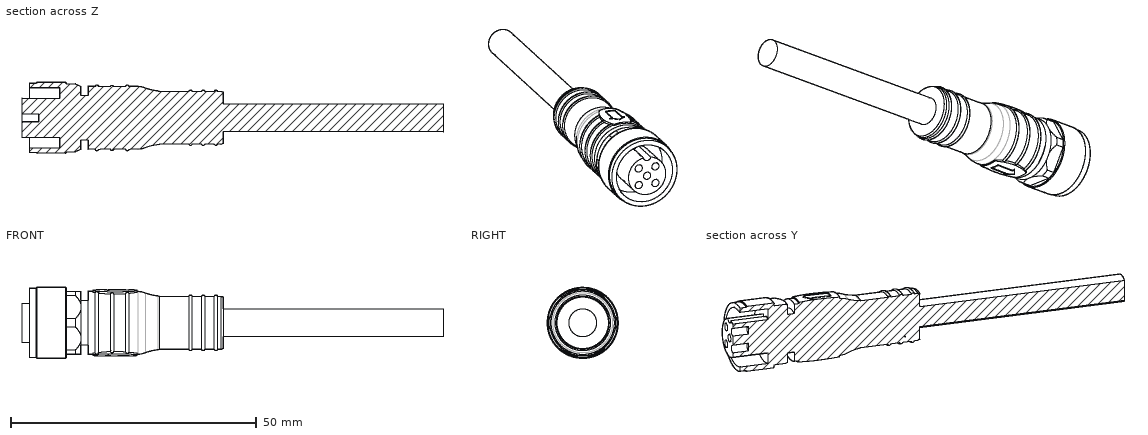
import cadquery as cq
import math


TOTAL_LENGTH = 86.0
COLLAR_FRONT = 1.55
COLLAR_STEP = 2.9
COLLAR_REAR = 9.1
NUT_CHAMFER_START = 10.9
NUT_REAR = 12.0
GRIP_FRONT = 13.5
SHOULDER_START = 23.65
TAPER_START = 25.2
TAPER_END = 27.8
SLEEVE_REAR = 41.1

CABLE_RADIUS = 2.8
INSERT_RADIUS = 4.0
NECK_RADIUS = 4.6
SLEEVE_RADIUS = 5.4
TAPER_START_RADIUS = 6.1
GRIP_RADIUS = 6.45
COLLAR_DIAMETER = 14.5
COLLAR_RADIUS = COLLAR_DIAMETER / 2
NUT_RADIUS = 7.0
NUT_END_RADIUS = 6.45

COLLAR_STEP_HEIGHT = 0.2
COLLAR_REAR_CHAMFER = 0.2
BORE_RADIUS = 6.1
BORE_FLOOR = 7.7

NUT_ACROSS_FLATS = 12.8

CONTACT_RADIUS = 0.8
CONTACT_OFFSET = 1.8
CONTACT_DEPTH = 3.4
KEY_RADIUS = 0.8

RIB_WIDTH = 0.7
RIB_HEIGHT = 0.3
GRIP_RIB_CENTERS = (15.3, 18.4, 21.5)
SLEEVE_RIB_CENTERS = (34.4, 37.0, 39.6)
SLEEVE_END_CHAMFER = 0.5
SLEEVE_END_STEP = 0.2
TAPER_BULGE = 0.2
TAPER_LIP_LENGTH = 0.3
TAPER_LIP_HEIGHT = 0.1

PAD_FRONT = 14.5
PAD_REAR = 23.5
PAD_END_RADIUS = 6.7
PAD_CROWN_RADIUS = 6.9
PAD_END_HALF_WIDTH = 1.8
PAD_HALF_WIDTH = 2.75

ARROW_TIP = 16.2
ARROW_HEAD_REAR = 17.7
ARROW_REAR = 21.85
ARROW_HEAD_HALF_WIDTH = 1.6
ARROW_SHAFT_HALF_WIDTH = 1.0
ARROW_DEPTH = 0.2


def cylinder(start, end, radius, y=0, z=0):
    """Cylinder parallel to X between two axial positions."""
    return cq.Workplane("YZ", origin=(start, y, z)).circle(radius).extrude(end - start)


def revolve_about_x(profile):
    return profile.close().revolve(360, (0, 0, 0), (1, 0, 0))


def make_collar():
    front_radius = COLLAR_RADIUS - COLLAR_STEP_HEIGHT
    ring = revolve_about_x(
        cq.Workplane("XY")
        .moveTo(COLLAR_FRONT, 0)
        .lineTo(COLLAR_FRONT, front_radius)
        .lineTo(COLLAR_STEP, front_radius)
        .lineTo(COLLAR_STEP + COLLAR_STEP_HEIGHT, COLLAR_RADIUS)
        .lineTo(COLLAR_REAR - COLLAR_REAR_CHAMFER, COLLAR_RADIUS)
        .lineTo(COLLAR_REAR, COLLAR_RADIUS - COLLAR_REAR_CHAMFER)
        .lineTo(COLLAR_REAR, 0)
    )
    return ring.cut(cylinder(COLLAR_FRONT, BORE_FLOOR, BORE_RADIUS))


def make_nut():
    """Hexagon with flats facing +Z and -Z, its corners turned off and its rear edge chamfered."""
    across_corners = NUT_ACROSS_FLATS / math.cos(math.pi / 6)
    hexagon = (
        cq.Workplane("YZ", origin=(COLLAR_REAR, 0, 0))
        .polygon(6, across_corners)
        .extrude(NUT_REAR - COLLAR_REAR)
    )
    envelope = revolve_about_x(
        cq.Workplane("XY")
        .moveTo(COLLAR_REAR, 0)
        .lineTo(COLLAR_REAR, NUT_RADIUS)
        .lineTo(NUT_CHAMFER_START, NUT_RADIUS)
        .lineTo(NUT_REAR, NUT_END_RADIUS)
        .lineTo(NUT_REAR, 0)
    )
    return hexagon.intersect(envelope)


def make_insert():
    insert = cylinder(0, BORE_FLOOR, INSERT_RADIUS)
    insert = insert.cut(cylinder(0, BORE_FLOOR, KEY_RADIUS, z=INSERT_RADIUS))
    contacts = [(0, 0)]
    for y_side in (-1, 1):
        for z_side in (-1, 1):
            contacts.append((y_side * CONTACT_OFFSET, z_side * CONTACT_OFFSET))
    for y, z in contacts:
        insert = insert.cut(cylinder(0, CONTACT_DEPTH, CONTACT_RADIUS, y, z))
    return insert


def make_grip():
    """Grip, tapering shoulder and rear sleeve as one turned body."""
    shoulder_middle = (SHOULDER_START + TAPER_START) / 2
    shoulder_middle_radius = (GRIP_RADIUS + TAPER_START_RADIUS) / 2 + TAPER_BULGE / 2
    taper_end_radius = SLEEVE_RADIUS + TAPER_LIP_HEIGHT
    taper_middle = (TAPER_START + TAPER_END) / 2
    taper_middle_radius = (TAPER_START_RADIUS + taper_end_radius) / 2 - TAPER_BULGE / 2
    return revolve_about_x(
        cq.Workplane("XY")
        .moveTo(GRIP_FRONT, 0)
        .lineTo(GRIP_FRONT, GRIP_RADIUS)
        .lineTo(SHOULDER_START, GRIP_RADIUS)
        .threePointArc((shoulder_middle, shoulder_middle_radius), (TAPER_START, TAPER_START_RADIUS))
        .threePointArc((taper_middle, taper_middle_radius), (TAPER_END, taper_end_radius))
        .lineTo(TAPER_END + TAPER_LIP_LENGTH, SLEEVE_RADIUS)
        .lineTo(SLEEVE_REAR - SLEEVE_END_CHAMFER, SLEEVE_RADIUS)
        .lineTo(SLEEVE_REAR, SLEEVE_RADIUS - SLEEVE_END_STEP)
        .lineTo(SLEEVE_REAR, 0)
    )


def make_rib(center, base_radius):
    """Rounded ring standing on a cylinder of the base radius."""
    return revolve_about_x(
        cq.Workplane("XY")
        .moveTo(center - RIB_WIDTH / 2, 0)
        .lineTo(center - RIB_WIDTH / 2, base_radius)
        .threePointArc((center, base_radius + RIB_HEIGHT), (center + RIB_WIDTH / 2, base_radius))
        .lineTo(center + RIB_WIDTH / 2, 0)
    )


def make_pad_crown(inset=0):
    """Barrel-shaped body whose surface lies below the pad surface by the inset."""
    return revolve_about_x(
        cq.Workplane("XY")
        .moveTo(PAD_FRONT, 0)
        .lineTo(PAD_FRONT, PAD_END_RADIUS - inset)
        .threePointArc(
            ((PAD_FRONT + PAD_REAR) / 2, PAD_CROWN_RADIUS - inset),
            (PAD_REAR, PAD_END_RADIUS - inset),
        )
        .lineTo(PAD_REAR, 0)
    )


def make_pads():
    """Both pads: straight ends, bowed sides, one above and one below the axis."""
    middle = (PAD_FRONT + PAD_REAR) / 2
    outline = (
        cq.Workplane("XY")
        .moveTo(PAD_FRONT, -PAD_END_HALF_WIDTH)
        .lineTo(PAD_FRONT, PAD_END_HALF_WIDTH)
        .threePointArc((middle, PAD_HALF_WIDTH), (PAD_REAR, PAD_END_HALF_WIDTH))
        .lineTo(PAD_REAR, -PAD_END_HALF_WIDTH)
        .threePointArc((middle, -PAD_HALF_WIDTH), (PAD_FRONT, -PAD_END_HALF_WIDTH))
        .close()
        .extrude(COLLAR_RADIUS, both=True)
    )
    return outline.intersect(make_pad_crown())


def make_arrow_cuts():
    """Arrows pointing to the mating face, reaching down to the arrow depth in both pads."""
    arrow = (
        cq.Workplane("XY")
        .moveTo(ARROW_TIP, 0)
        .lineTo(ARROW_HEAD_REAR, ARROW_HEAD_HALF_WIDTH)
        .lineTo(ARROW_HEAD_REAR, ARROW_SHAFT_HALF_WIDTH)
        .lineTo(ARROW_REAR, ARROW_SHAFT_HALF_WIDTH)
        .lineTo(ARROW_REAR, -ARROW_SHAFT_HALF_WIDTH)
        .lineTo(ARROW_HEAD_REAR, -ARROW_SHAFT_HALF_WIDTH)
        .lineTo(ARROW_HEAD_REAR, -ARROW_HEAD_HALF_WIDTH)
        .close()
        .extrude(COLLAR_RADIUS, both=True)
    )
    return arrow.cut(make_pad_crown(ARROW_DEPTH))


def make_connector():
    body = make_collar().union(make_nut()).union(make_insert())
    body = body.union(cylinder(BORE_FLOOR, GRIP_FRONT, NECK_RADIUS))
    grip = make_grip()
    for center in GRIP_RIB_CENTERS:
        grip = grip.union(make_rib(center, GRIP_RADIUS))
    for center in SLEEVE_RIB_CENTERS:
        grip = grip.union(make_rib(center, SLEEVE_RADIUS))
    grip = grip.union(make_pads()).cut(make_arrow_cuts())
    cable = cylinder(SLEEVE_REAR, TOTAL_LENGTH, CABLE_RADIUS)
    return body.union(grip).union(cable)


result = make_connector()